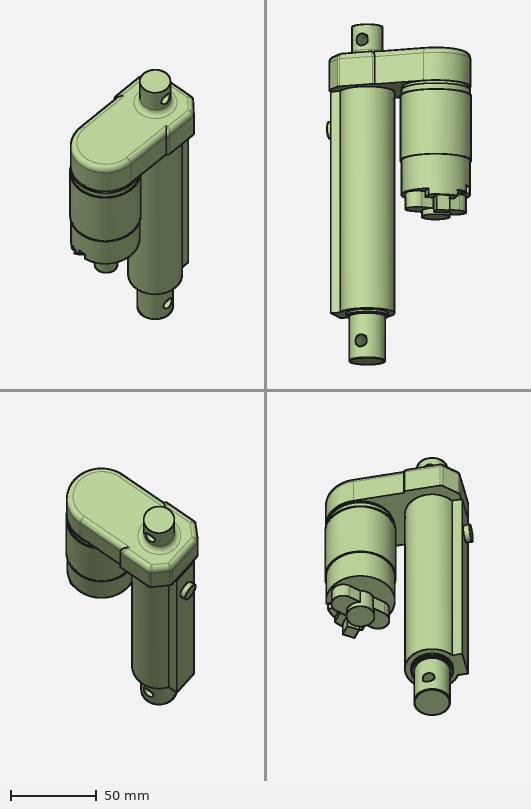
import cadquery as cq


TOTAL_HEIGHT = 198.9
COLLAR_BOTTOM = 26.6
TUBE_BOTTOM = 28.6
HOUSING_BOTTOM = 160.3
HOUSING_TOP = 180.4
HOUSING_HEIGHT = HOUSING_TOP - HOUSING_BOTTOM

HOUSING_WIDTH = 43.2
HOUSING_BACK = 19.0
CORNER_CUT = 9.0
CORNER_ROUND = 2.0
STEP_Y = -12.3
STEP_ROUND = 1.0
MOTOR_Y = -42.8
ARM_RADIUS = 20.3
EDGE_ROUND = 3.5
BOSS_RADIUS = 9.0
PIN_HOLE_DIAMETER = 7.2
BOSS_HOLE_Z = 190.0

TUBE_RADIUS = 16.0
RAIL_WIDTH = 16.3
RAIL_BACK = 19.7
COLLAR_RADIUS = 12.3
COLLAR_CHAMFER = 0.5
OUTLET_RADIUS = 5.2
OUTLET_BACK = 23.3
OUTLET_Z = 139.0

ROD_RADIUS = 10.5
ROD_END_CHAMFER = 0.4
ROD_HOLE_Z = 10.5

NECK_RADIUS = 20.0
NECK_CHAMFER_HEIGHT = 1.8
NECK_CHAMFER_WIDTH = 0.5
CAN_TOP = 155.0
CAN_RADIUS = 20.7
CAN_BOTTOM = 116.3
CAP_RADIUS = 20.0
CAP_BOTTOM = 96.0
BAR_LENGTH = 37.5
BAR_WIDTH = 13.5
BAR_ANGLE = -45.0
BAR_BOTTOM = 86.5
BEARING_RADIUS = 8.2
BEARING_BOTTOM = 83.0
NOTCH_WIDTH = 4.4
NOTCH_HEIGHT = 3.8
NOTCH_DEPTH = 4.0

CONNECTOR_ANGLE = 215.0
SKIRT_WIDTH = 17.3
SKIRT_REACH = 8.8
SKIRT_BOTTOM = 92.5
PRONG_WIDTH = 7.5
PRONG_INNER_REACH = 10.7
PRONG_OUTER_REACH = 17.9
PRONG_BOTTOM = 83.5


def cylinder(radius, bottom, top, y=0.0):
    """Upright cylinder between two levels."""
    return cq.Workplane("XY", origin=(0, y, bottom)).circle(radius).extrude(top - bottom)


def cross_hole(z):
    """Pin hole cutter along X through the Z axis."""
    return (
        cq.Workplane("YZ", origin=(0, 0, z))
        .circle(PIN_HOLE_DIAMETER / 2)
        .extrude(HOUSING_WIDTH / 2, both=True)
    )


def connector_block(reach_in, reach_out, side_low, side_high, bottom, top):
    """Box beside the motor axis, turned so that its length follows the connector direction."""
    return (
        cq.Workplane("XY", origin=(0, 0, bottom))
        .moveTo(reach_in, side_low)
        .lineTo(reach_out, side_low)
        .lineTo(reach_out, side_high)
        .lineTo(reach_in, side_high)
        .close()
        .extrude(top - bottom)
        .rotate((0, 0, 0), (0, 0, 1), CONNECTOR_ANGLE)
        .translate((0, MOTOR_Y, 0))
    )


def make_housing_block():
    """Wide rear part of the housing, around the tube axis."""
    half_width = HOUSING_WIDTH / 2
    corner_y = HOUSING_BACK - CORNER_CUT
    corner_x = half_width - CORNER_CUT
    block = (
        cq.Workplane("XY", origin=(0, 0, HOUSING_BOTTOM))
        .moveTo(-corner_x, HOUSING_BACK)
        .lineTo(corner_x, HOUSING_BACK)
        .lineTo(half_width, corner_y)
        .lineTo(half_width, STEP_Y)
        .lineTo(-half_width, STEP_Y)
        .lineTo(-half_width, corner_y)
        .close()
        .extrude(HOUSING_HEIGHT)
    )
    block = block.edges("|Z and (not <Y)").fillet(CORNER_ROUND)
    block = block.edges("|Z and <Y").fillet(STEP_ROUND)
    return block.faces(">Z").edges().fillet(EDGE_ROUND)


def make_housing_arm():
    """Narrower round-ended part of the housing, reaching over the motor."""
    arm = (
        cq.Workplane("XY", origin=(0, 0, HOUSING_BOTTOM))
        .moveTo(-ARM_RADIUS, 0)
        .lineTo(-ARM_RADIUS, MOTOR_Y)
        .threePointArc((0, MOTOR_Y - ARM_RADIUS), (ARM_RADIUS, MOTOR_Y))
        .lineTo(ARM_RADIUS, 0)
        .close()
        .extrude(HOUSING_HEIGHT)
    )
    return arm.faces(">Z").edges("not >Y").fillet(EDGE_ROUND)


def make_boss():
    """Rear mounting boss, flaring out where it meets the housing top."""
    return (
        cq.Workplane("XZ")
        .moveTo(0, HOUSING_TOP)
        .lineTo(BOSS_RADIUS + EDGE_ROUND, HOUSING_TOP)
        .radiusArc((BOSS_RADIUS, HOUSING_TOP + EDGE_ROUND), EDGE_ROUND)
        .lineTo(BOSS_RADIUS, TOTAL_HEIGHT)
        .lineTo(0, TOTAL_HEIGHT)
        .close()
        .revolve(360, (0, 0), (0, 1))
    )


def make_housing():
    body = make_housing_block().union(make_housing_arm()).union(make_boss())
    return body.cut(cross_hole(BOSS_HOLE_Z))


def make_tube():
    rail = (
        cq.Workplane("XY", origin=(0, 0, TUBE_BOTTOM))
        .moveTo(0, RAIL_BACK / 2)
        .rect(RAIL_WIDTH, RAIL_BACK)
        .extrude(HOUSING_BOTTOM - TUBE_BOTTOM)
    )
    collar = cylinder(COLLAR_RADIUS, COLLAR_BOTTOM, TUBE_BOTTOM)
    collar = collar.faces("<Z").chamfer(COLLAR_CHAMFER)
    outlet = (
        cq.Workplane("XZ", origin=(0, RAIL_BACK, OUTLET_Z))
        .circle(OUTLET_RADIUS)
        .extrude(RAIL_BACK - OUTLET_BACK)
    )
    return cylinder(TUBE_RADIUS, TUBE_BOTTOM, HOUSING_BOTTOM).union(rail).union(collar).union(outlet)


def make_rod():
    rod = cylinder(ROD_RADIUS, 0, COLLAR_BOTTOM)
    rod = rod.faces("<Z").chamfer(ROD_END_CHAMFER)
    return rod.cut(cross_hole(ROD_HOLE_Z))


def make_motor_can():
    """Neck under the housing, the can itself and the plain part of the end cap."""
    neck = cylinder(NECK_RADIUS, CAN_TOP, HOUSING_BOTTOM, MOTOR_Y)
    neck = neck.faces(">Z").chamfer(NECK_CHAMFER_HEIGHT, NECK_CHAMFER_WIDTH)
    can = cylinder(CAN_RADIUS, CAN_BOTTOM, CAN_TOP, MOTOR_Y)
    cap = cylinder(CAP_RADIUS, CAP_BOTTOM, CAN_BOTTOM, MOTOR_Y)
    notch = (
        cq.Workplane("XY", origin=(0, MOTOR_Y - CAP_RADIUS, CAP_BOTTOM))
        .rect(NOTCH_WIDTH, 2 * NOTCH_DEPTH)
        .extrude(NOTCH_HEIGHT)
    )
    return neck.union(can).union(cap.cut(notch))


def make_cross_bar():
    """Round-ended bar across the cap's lower face."""
    return (
        cq.Workplane("XY", origin=(0, MOTOR_Y, BAR_BOTTOM))
        .transformed(rotate=(0, 0, BAR_ANGLE))
        .slot2D(BAR_LENGTH, BAR_WIDTH)
        .extrude(CAP_BOTTOM - BAR_BOTTOM)
    )


def make_connector():
    """Skirt continuing the cap's wall downwards, with the prong below it."""
    skirt_side = SKIRT_WIDTH / 2
    skirt = connector_block(
        SKIRT_REACH, CAP_RADIUS, -skirt_side, skirt_side, SKIRT_BOTTOM, CAP_BOTTOM
    ).intersect(cylinder(CAP_RADIUS, SKIRT_BOTTOM, CAP_BOTTOM, MOTOR_Y))
    prong_side = PRONG_WIDTH / 2
    prong = connector_block(
        PRONG_INNER_REACH, PRONG_OUTER_REACH, -prong_side, prong_side, PRONG_BOTTOM, SKIRT_BOTTOM
    )
    return skirt.union(prong)


def make_motor():
    bearing = cylinder(BEARING_RADIUS, BEARING_BOTTOM, CAP_BOTTOM, MOTOR_Y)
    return make_motor_can().union(make_cross_bar()).union(bearing).union(make_connector())


housing = make_housing()
tube = make_tube()
rod = make_rod()
motor = make_motor()

result = cq.Compound.makeCompound([housing.val(), tube.val(), rod.val(), motor.val()])